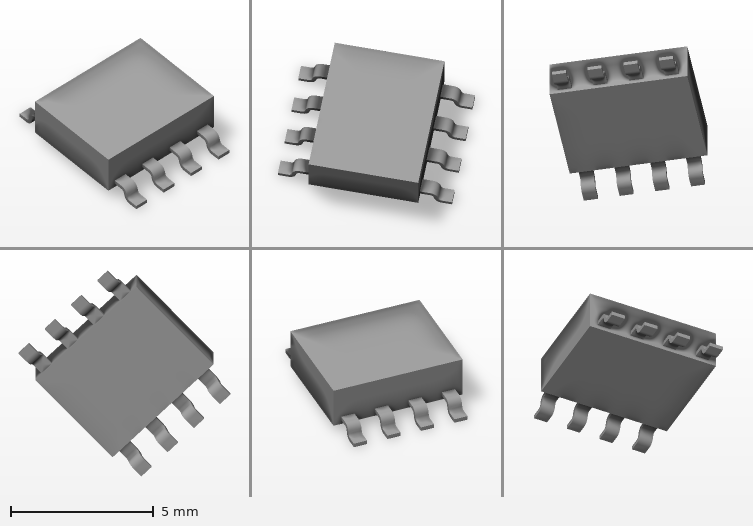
import cadquery as cq
import math

overall_width = 6.2
overall_height = 1.75

housing_width = 3.905
housing_length = 4.9
standoff = 0.25
housing_height = overall_height - standoff

marker_diameter = 0.19
marker_depth = 0.1
marker_inset_x = 0.66
marker_inset_y = 0.55
marker_x = -housing_width / 2 + marker_inset_x
marker_y = housing_length / 2 - marker_inset_y

leads_per_side = 4
lead_pitch = 1.27
lead_width = 0.5
lead_thickness = 0.15
lead_top = 0.56
foot_length = 0.36
bend_inner_radius = 0.13
leg_tilt = math.radians(15)

bend_radius = bend_inner_radius + lead_thickness / 2
foot_z = lead_thickness / 2
shoulder_z = lead_top - lead_thickness / 2
bend_run = bend_radius * math.cos(leg_tilt)
bend_drop = bend_radius * (1 - math.sin(leg_tilt))
leg_height = shoulder_z - foot_z - 2 * bend_drop
leg_run = leg_height * math.tan(leg_tilt)


def make_marker():
    return (
        cq.Workplane("XY", origin=(marker_x, marker_y, overall_height - marker_depth))
        .circle(marker_diameter / 2)
        .extrude(marker_depth)
    )


def make_housing(marker):
    block = cq.Workplane("XY", origin=(0, 0, standoff)).box(
        housing_width, housing_length, housing_height, centered=(True, True, False)
    )
    return block.cut(marker)


def make_lead():
    """Lead on the +X side at Y = 0, running from the housing wall out to the foot tip."""
    wall_x = housing_width / 2
    tip_x = overall_width / 2
    lower_bend_end_x = tip_x - foot_length
    leg_bottom = (lower_bend_end_x - bend_run, foot_z + bend_drop)
    leg_top = (leg_bottom[0] - leg_run, shoulder_z - bend_drop)
    upper_bend_start_x = leg_top[0] - bend_run

    centreline = (
        cq.Workplane("XZ")
        .moveTo(wall_x, shoulder_z)
        .lineTo(upper_bend_start_x, shoulder_z)
        .tangentArcPoint(leg_top, relative=False)
        .lineTo(*leg_bottom)
        .tangentArcPoint((lower_bend_end_x, foot_z), relative=False)
        .lineTo(tip_x, foot_z)
    )
    return (
        cq.Workplane("YZ", origin=(wall_x, 0, shoulder_z))
        .rect(lead_width, lead_thickness)
        .sweep(centreline)
    )


def make_leads():
    right_lead = make_lead()
    left_lead = right_lead.rotate((0, 0, 0), (0, 0, 1), 180)
    leads = []
    for index in range(leads_per_side):
        y = (index - (leads_per_side - 1) / 2) * lead_pitch
        for lead in (left_lead, right_lead):
            leads.append(lead.translate((0, y, 0)).val())
    return leads


marker = make_marker()
housing = make_housing(marker)
leads = make_leads()

result = cq.Compound.makeCompound([housing.val(), marker.val(), *leads])